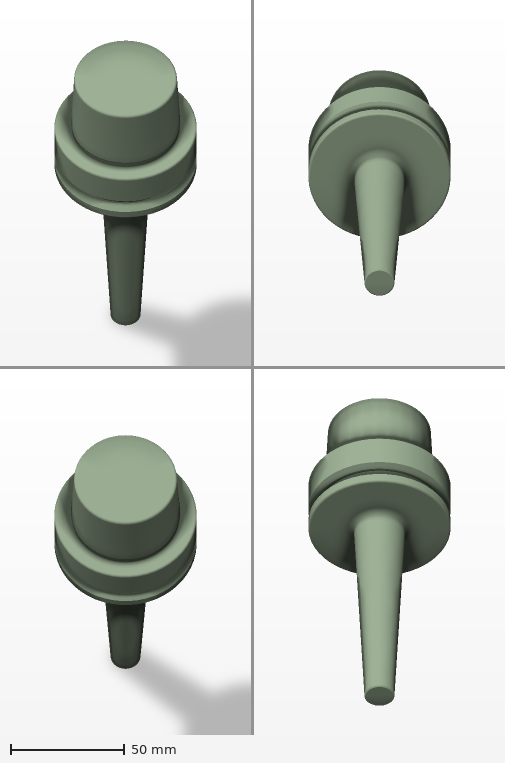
import cadquery as cq

total_height = 157.9
taper_height = 32.0
flange_height = 25.9
face_z = total_height - taper_height
flange_bottom_z = face_z - flange_height

tip_radius = 6.6
tip_chamfer = 0.5
shank_top_radius = 11.4
neck_fillet = 2.8

flange_radius = 31.5
flange_rounding = 1.0
groove_floor_radius = 27.5
groove_mouth_radius = 28.7
groove_lip_z = face_z - 14.5
groove_top_z = face_z - 16.0
groove_bottom_z = face_z - 19.6
groove_lower_lip_z = face_z - 21.6

relief_radius = 26.5
relief_depth = 0.5
relief_floor_z = face_z - relief_depth

root_radius = 23.8
taper_base_radius = 24.2
taper_top_radius = 22.7
taper_base_z = face_z + 2.8
root_top_z = face_z + 1.9
top_rounding = 1.1
root_fillet = 0.5


def revolve_profile(points):
    return cq.Workplane("XZ").polyline(points).close().revolve(360, (0, 0, 0), (0, 1, 0))


def make_holder():
    return revolve_profile([
        (0, 0),
        (tip_radius - tip_chamfer, 0),
        (tip_radius, tip_chamfer),
        (shank_top_radius, flange_bottom_z),
        (flange_radius, flange_bottom_z),
        (flange_radius, groove_lower_lip_z),
        (groove_mouth_radius, groove_bottom_z),
        (groove_floor_radius, groove_bottom_z),
        (groove_floor_radius, groove_top_z),
        (groove_mouth_radius, groove_top_z),
        (flange_radius, groove_lip_z),
        (flange_radius, face_z),
        (relief_radius, face_z),
        (root_radius, relief_floor_z),
        (root_radius, root_top_z),
        (taper_base_radius, taper_base_z),
        (taper_top_radius, total_height),
        (0, total_height),
    ])


def fillet_ring(body, ring_radius, ring_z, fillet_radius):
    """Round the circular edge of the given radius and height."""
    margin = 0.08
    reach = ring_radius + margin
    inner = ring_radius - margin
    outer_box = cq.selectors.BoxSelector(
        (-reach, -reach, ring_z - margin), (reach, reach, ring_z + margin), boundingbox=True
    )
    inner_box = cq.selectors.BoxSelector(
        (-inner, -inner, ring_z - margin), (inner, inner, ring_z + margin), boundingbox=True
    )
    return body.edges(outer_box - inner_box).fillet(fillet_radius)


result = make_holder()
result = fillet_ring(result, shank_top_radius, flange_bottom_z, neck_fillet)
result = fillet_ring(result, flange_radius, flange_bottom_z, flange_rounding)
result = fillet_ring(result, flange_radius, face_z, flange_rounding)
result = fillet_ring(result, root_radius, relief_floor_z, root_fillet)
result = fillet_ring(result, taper_top_radius, total_height, top_rounding)